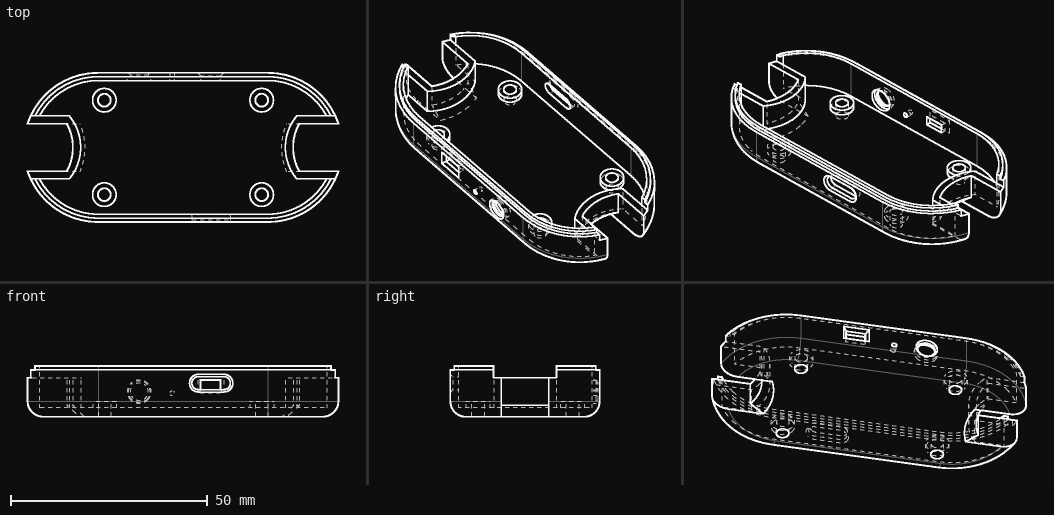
import cadquery as cq
import math

body_width = 38.0
straight_length = 43.0
body_height = 13.0
wall = 2.0
floor_thickness = 2.5
bottom_round = 4.0

rim_step_width = 1.0
rim_step_height = 1.0

notch_width = 12.0
notch_tip_x = 28.0
notch_arc_radius = 12.5
notch_wall_top = 10.0
notch_chamfer = 3.0

boss_spacing_x = 40.0
boss_spacing_y = 24.0
boss_diameter = 6.0
boss_height = 1.5
screw_diameter = 3.2

port_x = 7.15
port_z = 8.6
port_length = 9.8
port_height = 3.3
port_chamfer = 0.6

window_x = 7.0
window_z = 8.15
window_length = 5.0
window_height = 2.5
window_chamfer = 0.8

pinhole_x = -2.8
pinhole_z = 6.1
pinhole_diameter = 1.2

button_x = -11.2
button_z = 6.5
button_diameter = 4.5
button_chamfer = 0.5
button_recess_diameter = 6.0
button_recess_depth = 1.0

outer_y = body_width / 2
inner_y = outer_y - wall
half_length = straight_length / 2 + outer_y


def stadium(inset, bottom, top):
    """Stadium-shaped block between two heights, inset from the outer wall."""
    width = body_width - 2 * inset
    sketch = cq.Workplane("XY").workplane(offset=bottom).slot2D(straight_length + width, width)
    return sketch.extrude(top - bottom)


def outer_body():
    """Solid outer shape: rounded below, stepped in at the rim."""
    body = stadium(0, 0, body_height - rim_step_height).faces("<Z").edges().fillet(bottom_round)
    return body.union(stadium(rim_step_width, bottom_round, body_height))


def at_both_ends(shape):
    return shape.union(shape.mirror("YZ"))


def notch_block(margin, bottom, top):
    """Block filling the +X notch plus a margin; its inner end bulges towards the middle."""
    half_width = notch_width / 2 + margin
    tip_x = notch_tip_x - margin
    corner_x = tip_x + notch_arc_radius - math.sqrt(notch_arc_radius**2 - half_width**2)
    return (
        cq.Workplane("XY")
        .workplane(offset=bottom)
        .moveTo(half_length, -half_width)
        .lineTo(corner_x, -half_width)
        .threePointArc((tip_x, 0), (corner_x, half_width))
        .lineTo(half_length, half_width)
        .close()
        .extrude(top - bottom)
    )


def notch_end_chamfer():
    """Cone that chamfers the lower edge of the notch's curved end, kept to the notch width."""
    cone = cq.Solid.makeCone(
        notch_arc_radius + notch_chamfer,
        notch_arc_radius,
        notch_chamfer,
        pnt=(notch_tip_x + notch_arc_radius, 0, 0),
        dir=(0, 0, 1),
    )
    limits = cq.Workplane("XY").box(2 * half_length, notch_width, body_height)
    return limits.intersect(cq.Workplane(cone))


def notch_cuts():
    """The notches, and the clearance above the walls around them."""
    opening = notch_block(0, 0, body_height).union(notch_end_chamfer())
    clearance = notch_block(wall, notch_wall_top, body_height)
    return at_both_ends(opening.union(clearance))


def cavity():
    """Inside of the tray, leaving the walls around the notches standing."""
    notch_walls = at_both_ends(notch_block(wall, 0, notch_wall_top))
    return stadium(wall, floor_thickness, body_height).cut(notch_walls)


def cylinders_at_screws(diameter, bottom, height):
    return (
        cq.Workplane("XY")
        .workplane(offset=bottom)
        .rarray(boss_spacing_x, boss_spacing_y, 2, 2)
        .circle(diameter / 2)
        .extrude(height)
    )


def front_plane(x, z):
    """Sketch plane on the outside of the -Y wall; negative extrusion goes into the wall."""
    return cq.Workplane("XZ", origin=(x, -outer_y, z))


def back_plane(x, z):
    """Sketch plane on the outside of the +Y wall; positive extrusion goes into the wall."""
    return cq.Workplane("XZ", origin=(x, outer_y, z))


def port_cut():
    plane = front_plane(port_x, port_z)
    through = plane.slot2D(port_length, port_height).extrude(-wall)
    mouth = plane.slot2D(port_length + 2 * port_chamfer, port_height + 2 * port_chamfer)
    return through.union(mouth.extrude(-port_chamfer, taper=45))


def window_cut():
    plane = back_plane(window_x, window_z)
    through = plane.rect(window_length, window_height).extrude(wall)
    mouth = plane.rect(window_length + 2 * window_chamfer, window_height + 2 * window_chamfer)
    return through.union(mouth.extrude(window_chamfer, taper=45))


def pinhole_cut():
    return back_plane(pinhole_x, pinhole_z).circle(pinhole_diameter / 2).extrude(wall)


def button_cut():
    plane = back_plane(button_x, button_z)
    through = plane.circle(button_diameter / 2).extrude(wall)
    mouth = plane.circle(button_diameter / 2 + button_chamfer).extrude(button_chamfer, taper=45)
    inside = cq.Workplane("XZ", origin=(button_x, inner_y, button_z))
    recess = inside.circle(button_recess_diameter / 2).extrude(-button_recess_depth)
    return through.union(mouth).union(recess)


bosses = cylinders_at_screws(boss_diameter, floor_thickness, boss_height)
screw_holes = cylinders_at_screws(screw_diameter, 0, floor_thickness + boss_height)

result = outer_body().cut(cavity()).union(bosses)
for cutter in (screw_holes, notch_cuts(), port_cut(), window_cut(), pinhole_cut(), button_cut()):
    result = result.cut(cutter)